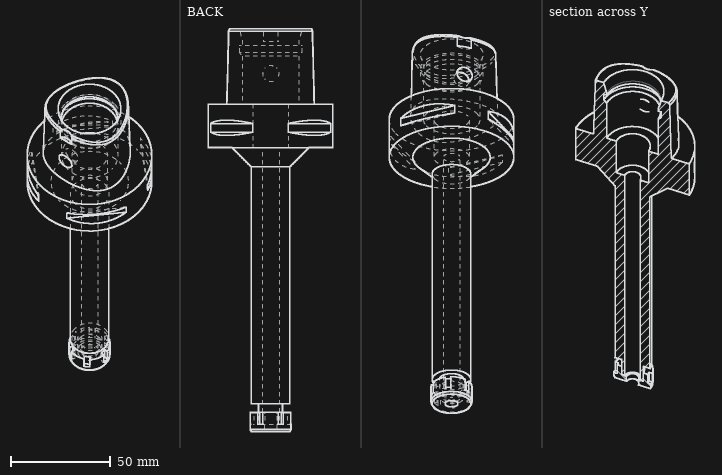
import cadquery as cq
import math

TOTAL_LENGTH = 203.0
SHANK_LENGTH = 38.0
FLANGE_HEIGHT = 22.0
CONE_HEIGHT = 9.7
FLANGE_TOP = TOTAL_LENGTH - SHANK_LENGTH
FLANGE_BOTTOM = FLANGE_TOP - FLANGE_HEIGHT
CONE_BOTTOM = FLANGE_BOTTOM - CONE_HEIGHT

SHANK_MEAN_RADIUS = 22.0
SHANK_LOBE = 1.52
SHANK_SLOPE = 1 / 40
OUTLINE_POINTS = 36
CHAMFER_HEIGHT = 1.5
CHAMFER_INSET = 0.6

FLANGE_RADIUS = 31.5
GROOVE_COUNT = 4
GROOVE_FIRST_ANGLE = 45
GROOVE_CENTER_Z = FLANGE_TOP - 12.0
GROOVE_FLOOR_DISTANCE = 27.6
GROOVE_FLOOR_HEIGHT = 4.3
GROOVE_MOUTH_HEIGHT = 7.7

CONE_RADIUS = 19.5
NECK_RADIUS = 9.7
NECK_BOTTOM = 14.0
SPIGOT_RADIUS = 6.0

ENTRY_RADIUS = 15.8
LIP_RADIUS = 14.2
ENTRY_CONE_DEPTH = 6.3
LIP_DEPTH = 8.3
UNDERCUT_RADIUS = ENTRY_RADIUS
UNDERCUT_DEPTH = 12.0
UNDERCUT_CONE_DEPTH = UNDERCUT_DEPTH + UNDERCUT_RADIUS - LIP_RADIUS
THREAD_RADIUS = 9.0
CHANNEL_RADIUS = 4.3

NOTCH_RADIUS = 5.3
NOTCH_DEPTH = 6.3
NOTCH_FLOOR_DISTANCE = 17.9
CROSS_HOLE_RADIUS = 4.0
CROSS_HOLE_Z = TOTAL_LENGTH - 22.5
CROSS_HOLE_FLOOR_DISTANCE = 14.6

NUT_RADIUS = 10.4
NUT_HEIGHT = 9.7
NUT_CHAMFER_HEIGHT = 1.2
NUT_CHAMFER_INSET = 0.6
NUT_HOLE_RADIUS = 3.2
NUT_SLOT_COUNT = 6
NUT_SLOT_WIDTH = 2.8
NUT_SLOT_BOTTOM = 3.7
NUT_SLOT_FLOOR_DISTANCE = 8.5
NUT_FLOOR = NUT_SLOT_BOTTOM


def lobed_outline(z, mean_radius):
    """Closed three-lobed curve at height z, with one lobe pointing to +Y."""
    points = []
    for i in range(OUTLINE_POINTS):
        angle = math.pi / 2 + 2 * math.pi * i / OUTLINE_POINTS
        x = mean_radius * math.cos(angle) - SHANK_LOBE * math.sin(2 * angle)
        y = mean_radius * math.sin(angle) - SHANK_LOBE * math.cos(2 * angle)
        points.append(cq.Vector(x, y, z))
    return cq.Wire.assembleEdges([cq.Edge.makeSpline(points, periodic=True)])


def make_shank():
    """Tapered lobed shank with a small chamfer around its free end."""
    chamfer_z = TOTAL_LENGTH - CHAMFER_HEIGHT
    chamfer_radius = SHANK_MEAN_RADIUS - SHANK_SLOPE * (chamfer_z - FLANGE_TOP)
    base = lobed_outline(FLANGE_TOP, SHANK_MEAN_RADIUS)
    chamfer_start = lobed_outline(chamfer_z, chamfer_radius)
    end = lobed_outline(TOTAL_LENGTH, chamfer_radius - CHAMFER_INSET)
    return cq.Workplane(cq.Solid.makeLoft([base, chamfer_start, end], True))


def make_turned_body():
    """Flange, cone, neck and spigot as one solid of revolution."""
    return (
        cq.Workplane("XZ")
        .moveTo(0, FLANGE_TOP)
        .lineTo(FLANGE_RADIUS, FLANGE_TOP)
        .lineTo(FLANGE_RADIUS, FLANGE_BOTTOM)
        .lineTo(CONE_RADIUS, FLANGE_BOTTOM)
        .lineTo(NECK_RADIUS, CONE_BOTTOM)
        .lineTo(NECK_RADIUS, NECK_BOTTOM)
        .lineTo(SPIGOT_RADIUS, NECK_BOTTOM)
        .lineTo(SPIGOT_RADIUS, NUT_FLOOR)
        .lineTo(0, NUT_FLOOR)
        .close()
        .revolve(360, (0, 0), (0, 1))
    )


def make_bore():
    """Stepped bore that runs through the whole holder."""
    return (
        cq.Workplane("XZ")
        .moveTo(0, TOTAL_LENGTH)
        .lineTo(ENTRY_RADIUS, TOTAL_LENGTH)
        .lineTo(LIP_RADIUS, TOTAL_LENGTH - ENTRY_CONE_DEPTH)
        .lineTo(LIP_RADIUS, TOTAL_LENGTH - LIP_DEPTH)
        .lineTo(UNDERCUT_RADIUS, TOTAL_LENGTH - LIP_DEPTH)
        .lineTo(UNDERCUT_RADIUS, TOTAL_LENGTH - UNDERCUT_DEPTH)
        .lineTo(LIP_RADIUS, TOTAL_LENGTH - UNDERCUT_CONE_DEPTH)
        .lineTo(LIP_RADIUS, FLANGE_TOP)
        .lineTo(THREAD_RADIUS, FLANGE_TOP)
        .lineTo(THREAD_RADIUS, FLANGE_BOTTOM)
        .lineTo(CHANNEL_RADIUS, FLANGE_BOTTOM)
        .lineTo(CHANNEL_RADIUS, NUT_FLOOR)
        .lineTo(0, NUT_FLOOR)
        .close()
        .revolve(360, (0, 0), (0, 1))
    )


def make_gripper_groove(angle):
    """Straight groove with sloping sides, cut into the flange in the given direction."""
    floor_half = GROOVE_FLOOR_HEIGHT / 2
    mouth_half = GROOVE_MOUTH_HEIGHT / 2
    return (
        cq.Workplane("XZ", origin=(0, 0, GROOVE_CENTER_Z))
        .moveTo(GROOVE_FLOOR_DISTANCE, -floor_half)
        .lineTo(FLANGE_RADIUS, -mouth_half)
        .lineTo(FLANGE_RADIUS, mouth_half)
        .lineTo(GROOVE_FLOOR_DISTANCE, floor_half)
        .close()
        .extrude(FLANGE_RADIUS, both=True)
        .rotate((0, 0, 0), (0, 0, 1), angle)
    )


def make_key_notch():
    """Upright round notch in the -Y side at the end of the shank."""
    axis_y = -(NOTCH_FLOOR_DISTANCE + NOTCH_RADIUS)
    return (
        cq.Workplane("XY", origin=(0, axis_y, TOTAL_LENGTH - NOTCH_DEPTH))
        .circle(NOTCH_RADIUS)
        .extrude(NOTCH_DEPTH)
    )


def make_cross_hole():
    """Blind round hole in the -Y side of the shank."""
    return (
        cq.Workplane("XZ", origin=(0, -CROSS_HOLE_FLOOR_DISTANCE, CROSS_HOLE_Z))
        .circle(CROSS_HOLE_RADIUS)
        .extrude(FLANGE_RADIUS - CROSS_HOLE_FLOOR_DISTANCE)
    )


def make_holder():
    """Tool holder: shank, flange and neck in one piece."""
    body = make_turned_body().union(make_shank())
    body = body.cut(make_bore()).cut(make_key_notch()).cut(make_cross_hole())
    for i in range(GROOVE_COUNT):
        body = body.cut(make_gripper_groove(GROOVE_FIRST_ANGLE + i * 360 / GROOVE_COUNT))
    return body


def make_nut_slot(angle):
    """Spanner slot, open at the top and the side of the nut."""
    slot_length = NUT_RADIUS
    slot_height = NUT_HEIGHT - NUT_SLOT_BOTTOM
    return (
        cq.Workplane("XY")
        .box(slot_length, NUT_SLOT_WIDTH, slot_height, centered=(False, True, False))
        .translate((NUT_SLOT_FLOOR_DISTANCE, 0, NUT_SLOT_BOTTOM))
        .rotate((0, 0, 0), (0, 0, 1), angle)
    )


def make_nut():
    """Cap nut around the spigot, with a hole for the tool and spanner slots."""
    nut = (
        cq.Workplane("XZ")
        .moveTo(NUT_HOLE_RADIUS, 0)
        .lineTo(NUT_RADIUS - NUT_CHAMFER_INSET, 0)
        .lineTo(NUT_RADIUS, NUT_CHAMFER_HEIGHT)
        .lineTo(NUT_RADIUS, NUT_HEIGHT)
        .lineTo(SPIGOT_RADIUS, NUT_HEIGHT)
        .lineTo(SPIGOT_RADIUS, NUT_FLOOR)
        .lineTo(NUT_HOLE_RADIUS, NUT_FLOOR)
        .close()
        .revolve(360, (0, 0), (0, 1))
    )
    for i in range(NUT_SLOT_COUNT):
        nut = nut.cut(make_nut_slot(i * 360 / NUT_SLOT_COUNT))
    return nut


holder = make_holder()
nut = make_nut()

result = cq.Compound.makeCompound([holder.val(), nut.val()])